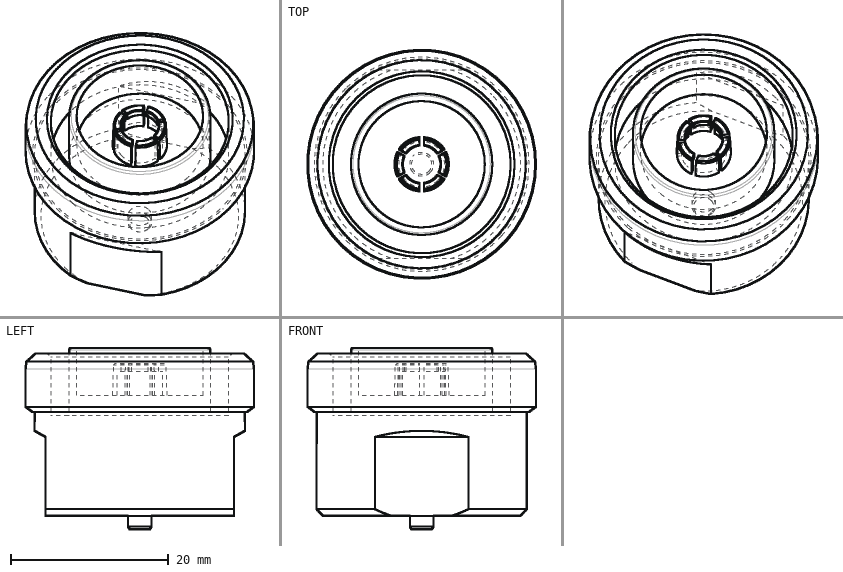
import cadquery as cq


body_radius = 13.35
body_chamfer_height = 0.87
body_chamfer_width = 0.8
flat_distance = 11.95
flat_height = 10.0
flat_runout_height = 10.8

nut_radius = 14.5
nut_bottom = 13.17
nut_bottom_chamfer_width = 0.9
nut_bottom_chamfer_height = 0.67
nut_taper_start = 18.62
nut_shoulder_radius = 14.38
nut_shoulder_height = 19.55
nut_top = 20.62
nut_face_radius = 13.2
nut_mouth_radius = 11.77
nut_bore_radius = 11.28
nut_mouth_depth = 0.5

floor_height = 15.25
groove_floor_height = 12.73
ring_radius = 8.95
ring_bore_radius = 8.0
ring_top = 21.3
ring_edge = 0.25

contact_base_radius = 3.45
contact_tip_radius = 3.34
contact_bore_radius = 2.9
contact_lip_radius = 2.38
contact_lip_height = 1.02
contact_mouth_chamfer = 0.1
contact_top = 19.3
contact_tip_chamfer = 0.2
slot_widths = {30: 0.38, 90: 0.58, 150: 0.38}

pin_radius = 1.5
pin_length = 1.7
pin_chamfer_height = 0.35
pin_chamfer_width = 0.23


def revolve_profile(points):
    """Turn a closed (radius, height) outline about the Z axis."""
    return cq.Workplane("XZ").polyline(points).close().revolve(360, (0, 0, 0), (0, 1, 0))


def make_body():
    body = revolve_profile([
        (0, 0),
        (body_radius - body_chamfer_width, 0),
        (body_radius, body_chamfer_height),
        (body_radius, nut_bottom),
        (nut_bore_radius, nut_bottom),
        (nut_bore_radius, groove_floor_height),
        (ring_radius, groove_floor_height),
        (ring_radius, floor_height),
        (0, floor_height),
    ])
    flat_cut = (
        cq.Workplane("YZ")
        .polyline([
            (flat_distance, 0),
            (nut_radius, 0),
            (nut_radius, flat_runout_height),
            (body_radius, flat_runout_height),
            (flat_distance, flat_height),
        ])
        .close()
        .extrude(body_radius, both=True)
    )
    return body.cut(flat_cut).cut(flat_cut.mirror("XZ"))


def make_nut():
    return revolve_profile([
        (nut_bore_radius, nut_bottom),
        (nut_radius - nut_bottom_chamfer_width, nut_bottom),
        (nut_radius, nut_bottom + nut_bottom_chamfer_height),
        (nut_radius, nut_taper_start),
        (nut_shoulder_radius, nut_shoulder_height),
        (nut_face_radius, nut_top),
        (nut_mouth_radius, nut_top),
        (nut_bore_radius, nut_top - nut_mouth_depth),
    ])


def make_ring():
    ring = cq.Workplane("XY").circle(ring_radius).extrude(ring_top - floor_height)
    ring = ring.faces(">Z").edges().fillet(ring_edge)
    bore = cq.Workplane("XY").circle(ring_bore_radius).extrude(ring_top - floor_height)
    return ring.cut(bore).translate((0, 0, floor_height))


def make_contact():
    lip_bottom = contact_top - contact_lip_height
    contact = revolve_profile([
        (contact_bore_radius, floor_height),
        (contact_base_radius, floor_height),
        (contact_tip_radius, contact_top - contact_tip_chamfer),
        (contact_tip_radius - contact_tip_chamfer, contact_top),
        (contact_lip_radius + contact_mouth_chamfer, contact_top),
        (contact_lip_radius, contact_top - contact_mouth_chamfer),
        (contact_lip_radius, lip_bottom),
        (contact_bore_radius, lip_bottom),
    ])
    slot_height = contact_top - floor_height
    for angle, slot_width in slot_widths.items():
        slot = (
            cq.Workplane("XY")
            .box(2 * contact_base_radius, slot_width, slot_height, centered=(True, True, False))
            .rotate((0, 0, 0), (0, 0, 1), angle)
            .translate((0, 0, floor_height))
        )
        contact = contact.cut(slot)
    return contact


def make_pin():
    return revolve_profile([
        (0, -pin_length),
        (pin_radius - pin_chamfer_width, -pin_length),
        (pin_radius, pin_chamfer_height - pin_length),
        (pin_radius, 0),
        (0, 0),
    ])


result = make_body().union(make_nut()).union(make_ring()).union(make_contact()).union(make_pin())